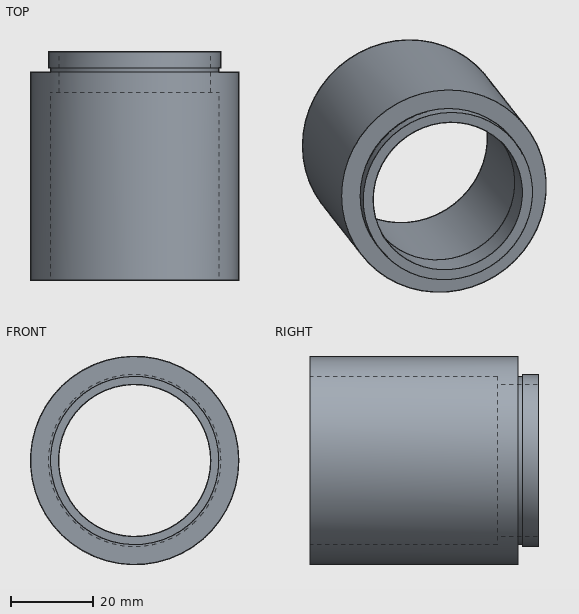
import cadquery as cq

body_diameter = 50.8
body_length = 50.8
spigot_length = 5.0
total_length = body_length + spigot_length

spigot_diameter = 42.0
groove_diameter = 41.0
groove_width = 1.0

socket_diameter = 41.0
through_diameter = 37.0
end_wall = 5.0
socket_depth = body_length - end_wall


def cylinder_along_y(diameter, start, length):
    """Solid cylinder on the Y axis running from start towards +Y."""
    base = cq.Workplane("XZ", origin=(0, start, 0))
    return base.circle(diameter / 2).extrude(-length)


def make_outside():
    body = cylinder_along_y(body_diameter, 0, body_length)
    groove_core = cylinder_along_y(groove_diameter, body_length, groove_width)
    spigot_start = body_length + groove_width
    spigot = cylinder_along_y(spigot_diameter, spigot_start, total_length - spigot_start)
    return body.union(groove_core).union(spigot)


def cut_bore(part):
    through_bore = cylinder_along_y(through_diameter, 0, total_length)
    socket = cylinder_along_y(socket_diameter, 0, socket_depth)
    return part.cut(through_bore).cut(socket)


result = cut_bore(make_outside())